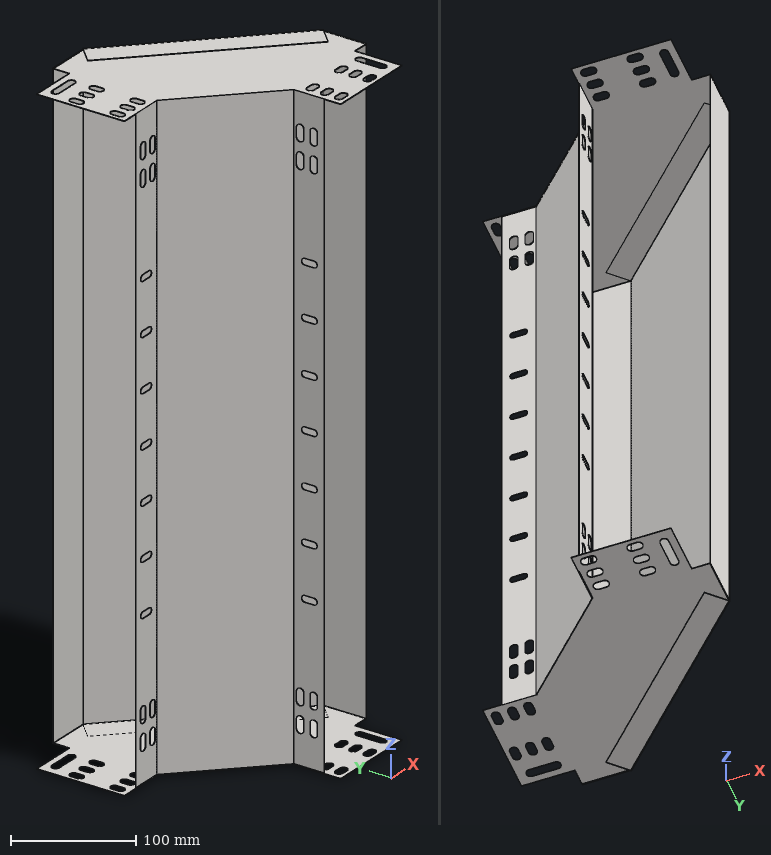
import cadquery as cq
import math

height = 603.0
reach = 226.0
sheet = 0.7

arm_length = 46.0
arm_inner = 124.0
arm_outer = 210.0
outer_bend = 88.0

wall_setback = 16.0

lip_width = 22.5

plate_slot_length = 13.0
plate_slot_width = 7.0
plate_slot_pitch = 14.0
plate_slot_first = 8.0
plate_slot_columns = 3
plate_slots_along = [plate_slot_first + i * plate_slot_pitch for i in range(plate_slot_columns)]
plate_slots_across = [136.5, 176.0]
long_slot_length = 29.5
long_slot_width = 7.0
long_slot_along = 23.0
long_slot_across = 199.5

upright_slot_length = 15.5
upright_slot_width = 7.0
upright_slots_along = [26.5, 40.0]
upright_slots_from_end = [38.0, 63.0]
level_slot_length = 15.0
level_slot_width = 6.0
level_slot_along = 31.0
level_slot_pitch = 50.0
level_slot_count = 7

inner_height = height - 2 * sheet
half_bend_angle = math.radians(45) / 2
bend_shift = sheet * math.tan(half_bend_angle)


def mirrored(points):
    """Plan points mirrored in the plane X = Y."""
    return [(y, x) for x, y in points]


def symmetric_prism(half_outline, bottom, tall):
    """Prism on an outline made of half_outline and its mirror image."""
    outline = half_outline + mirrored(half_outline)[::-1]
    return cq.Workplane("XY").workplane(offset=bottom).polyline(outline).close().extrude(tall)


def bent_wall(face, back, bottom, tall):
    """Upright sheet between two faces, each given on one arm from its end to the bend."""
    outline = face + mirrored(face)[::-1] + mirrored(back) + back[::-1]
    return cq.Workplane("XY").workplane(offset=bottom).polyline(outline).close().extrude(tall)


def mirrored_copy(shape):
    """Copy of a shape on the other arm, mirrored in the plane X = Y."""
    return shape.rotate((0, 0, 0), (0, 0, 1), 90).mirror("YZ")


def plate(bottom):
    """End plate covering the whole plan inside the outer wall."""
    outer = reach - sheet
    inner_side = [(arm_length, arm_inner), (0, arm_inner)]
    outer_side = [
        (0, arm_outer),
        (arm_length, arm_outer),
        (arm_length, outer),
        (outer_bend - bend_shift, outer),
    ]
    return symmetric_prism(inner_side + outer_side, bottom, sheet)


def inner_wall():
    """Wall along the inner edge of the bend, between the plates."""
    back_edge = arm_inner + sheet
    face = [(wall_setback, arm_inner), (arm_length, arm_inner)]
    back = [(wall_setback, back_edge), (arm_length + bend_shift, back_edge)]
    return bent_wall(face, back, 2 * sheet, height - 4 * sheet)


def plate_slots():
    """Cutters for the slots of one arm, through both plates."""
    places = [(x, y) for x in plate_slots_along for y in plate_slots_across]
    cutters = cq.Workplane("XY").pushPoints(places)
    cutters = cutters.slot2D(plate_slot_length, plate_slot_width, 90).extrude(height)
    long_slot = cq.Workplane("XY").center(long_slot_along, long_slot_across)
    return cutters.add(long_slot.slot2D(long_slot_length, long_slot_width).extrude(height))


def wall_slots():
    """Cutters for the slots of one arm face of the inner wall."""
    face = cq.Workplane("XZ", origin=(0, arm_inner, 0))
    depth = -sheet
    ends = upright_slots_from_end + [height - z for z in upright_slots_from_end]
    upright = face.pushPoints([(x, z) for x in upright_slots_along for z in ends])
    upright = upright.slot2D(upright_slot_length, upright_slot_width, 90).extrude(depth)
    middle = (level_slot_count - 1) / 2
    levels = [height / 2 + (i - middle) * level_slot_pitch for i in range(level_slot_count)]
    level = face.pushPoints([(level_slot_along, z) for z in levels])
    return upright.add(level.slot2D(level_slot_length, level_slot_width).extrude(depth))


def make_inner_shell():
    """Inner wall with both end plates, slotted on both arms."""
    shell = inner_wall().union(plate(sheet)).union(plate(height - 2 * sheet))
    for cutters in (plate_slots(), wall_slots()):
        for cutter in cutters.vals():
            shell = shell.cut(cq.Workplane(cutter)).cut(mirrored_copy(cq.Workplane(cutter)))
    return shell


def lip(bottom):
    """Rectangular lip along the diagonal of the outer wall, lying on a plate."""
    inset = lip_width / math.sqrt(2)
    end_edge = [(outer_bend - inset, reach - inset), (outer_bend, reach)]
    return symmetric_prism(end_edge, bottom, sheet)


def make_outer_cover():
    """Outer wall with a lip at each end."""
    inside = reach - sheet
    face = [(arm_length, reach), (outer_bend, reach)]
    back = [(arm_length, inside), (outer_bend - bend_shift, inside)]
    wall = bent_wall(face, back, sheet, inner_height)
    return wall.union(lip(0)).union(lip(height - sheet))


inner_shell = make_inner_shell()
outer_cover = make_outer_cover()
result = cq.Compound.makeCompound([inner_shell.solids().val(), outer_cover.solids().val()])